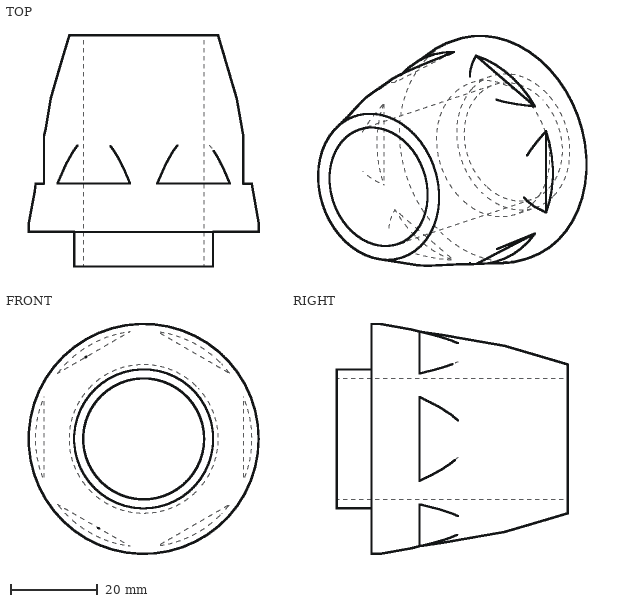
import cadquery as cq
import math

total_length = 53.25
tube_length = 8.0
rim_end = 10.05
flats_start = 19.1
nose_start = 38.7

bore_radius = 13.9
tube_radius = 32.0 / 2
rim_radius = 53.0 / 2
nose_end_radius = 17.15
cone_angle = 10.0

flat_count = 6
flat_distance = 22.95


def cone_radius(y):
    """Radius of the long taper behind the rim."""
    return rim_radius - (y - rim_end) * math.tan(math.radians(cone_angle))


def make_body():
    """Tube, rim, taper and conical nose, revolved about Y around the bore."""
    profile = (
        cq.Workplane("XY")
        .moveTo(bore_radius, 0)
        .lineTo(tube_radius, 0)
        .lineTo(tube_radius, tube_length)
        .lineTo(rim_radius, tube_length)
        .lineTo(rim_radius, rim_end)
        .lineTo(cone_radius(nose_start), nose_start)
        .lineTo(nose_end_radius, total_length)
        .lineTo(bore_radius, total_length)
        .close()
    )
    return profile.revolve(360, (0, 0, 0), (0, 1, 0))


def make_flat_cutter():
    """Block outside one flat, facing +X; the ring step bounds its lower end."""
    return cq.Workplane("XY").box(
        rim_radius, nose_start - flats_start, 2 * rim_radius, centered=(False, False, True)
    ).translate((flat_distance, flats_start, 0))


result = make_body()
for index in range(flat_count):
    angle = index * 360 / flat_count
    result = result.cut(make_flat_cutter().rotate((0, 0, 0), (0, 1, 0), angle))